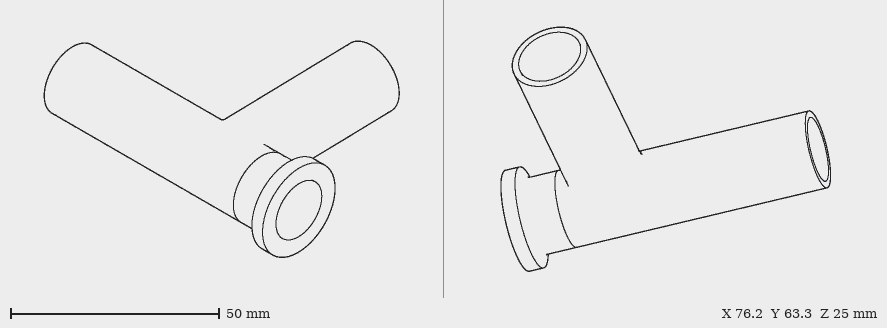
import cadquery as cq
import math

tube_diameter = 19.05
bore_diameter = 15.75
tube_radius = tube_diameter / 2
bore_radius = bore_diameter / 2

run_length = 63.5
branch_x = 50.8
branch_length = 50.8
junction_fillet = 1.0

ferrule_length = 12.7
flange_diameter = 24.99
flange_radius = flange_diameter / 2
rim_thickness = 3.6
flange_slope = math.radians(20)
neck_fillet = 0.75


def run_cylinder(radius):
    run_plane = cq.Plane(origin=(0, 0, 0), xDir=(0, 0, 1), normal=(1, 0, 0))
    return cq.Workplane(run_plane).circle(radius).extrude(run_length)


def branch_cylinder(radius):
    return cq.Workplane("XZ", origin=(branch_x, 0, 0)).circle(radius).extrude(-branch_length)


def make_tee():
    """Equal tee with a rounded inside corner where the branch leaves the run."""
    outside = run_cylinder(tube_radius).union(branch_cylinder(tube_radius))
    outside = outside.edges("%ELLIPSE").fillet(junction_fillet)
    return outside.cut(run_cylinder(bore_radius)).cut(branch_cylinder(bore_radius))


def make_ferrule():
    """Short tube ending in a flange with a conical back and a rounded neck."""
    end_x = run_length + ferrule_length
    rim_back_x = end_x - rim_thickness
    cone_length = (flange_radius - tube_radius) * math.tan(flange_slope)
    neck_x = rim_back_x - cone_length
    profile = [
        (run_length, bore_radius),
        (run_length, tube_radius),
        (neck_x, tube_radius),
        (rim_back_x, flange_radius),
        (end_x, flange_radius),
        (end_x, bore_radius),
    ]
    ferrule = cq.Workplane("XY").polyline(profile).close().revolve(360, (0, 0, 0), (1, 0, 0))
    neck_edge = cq.selectors.BoxSelector(
        (neck_x - neck_fillet, -flange_radius, -flange_radius),
        (neck_x + cone_length / 2, flange_radius, flange_radius),
    )
    return ferrule.edges(neck_edge).fillet(neck_fillet)


tee = make_tee()
ferrule = make_ferrule()

result = cq.Compound.makeCompound([tee.val(), ferrule.val()])